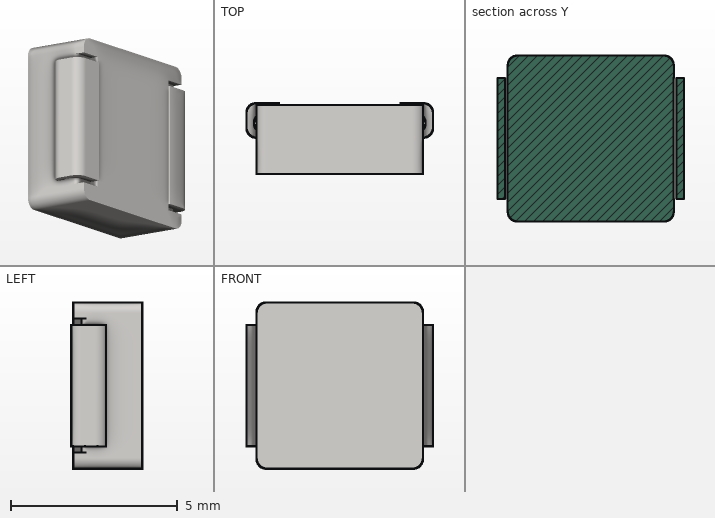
import cadquery as cq
import math

overall_width = 5.6
overall_depth = 2.13
body_width = 4.99
body_corner_radius = 0.31
pad_standoff = 0.055

terminal_height = 3.64
terminal_depth = 1.04
pad_length = 0.985
recess_height = 4.005
recess_lip_radius = 0.125
side_thickness = 0.235
inner_bend_radius = 0.295

side_x = -body_width / 2
outer_x = -overall_width / 2
pad_end_x = outer_x + pad_length
bend_radius = side_x - outer_x
pad_thickness = bend_radius
inner_centre_x = outer_x + side_thickness + inner_bend_radius
inner_centre_y = -pad_thickness - inner_bend_radius
crossing_offset = math.sqrt(inner_bend_radius**2 - (side_x - inner_centre_x) ** 2)


def bend_point(centre_x, centre_y, radius, angle):
    """Point on a bend circle, with the angle in degrees from +X."""
    turn = math.radians(angle)
    return (centre_x + radius * math.cos(turn), centre_y + radius * math.sin(turn))


def make_body():
    body_depth = overall_depth - pad_standoff
    return (
        cq.Workplane("XY")
        .box(body_width, body_depth, body_width)
        .edges("|Y")
        .fillet(body_corner_radius)
        .translate((0, -pad_standoff - body_depth / 2, 0))
    )


def make_recess():
    """Pocket for the pad, with its edge rounded over at the body side."""
    lip_centre_x = side_x + recess_lip_radius
    lip_centre_y = -pad_thickness - recess_lip_radius
    return (
        cq.Workplane("XY")
        .moveTo(pad_end_x, 0)
        .lineTo(side_x, 0)
        .lineTo(side_x, lip_centre_y)
        .threePointArc(
            bend_point(lip_centre_x, lip_centre_y, recess_lip_radius, 135),
            (lip_centre_x, -pad_thickness),
        )
        .lineTo(pad_end_x, -pad_thickness)
        .close()
        .extrude(recess_height / 2, both=True)
    )


def make_terminal():
    """C-shaped strip: pad along the back, bent round to end on the body side."""
    back_bend_y = -bend_radius
    front_bend_y = bend_radius - terminal_depth
    return (
        cq.Workplane("XY")
        .moveTo(pad_end_x, 0)
        .lineTo(side_x, 0)
        .threePointArc(bend_point(side_x, back_bend_y, bend_radius, 135), (outer_x, back_bend_y))
        .lineTo(outer_x, front_bend_y)
        .threePointArc(bend_point(side_x, front_bend_y, bend_radius, 225), (side_x, -terminal_depth))
        .lineTo(side_x, inner_centre_y - crossing_offset)
        .threePointArc(
            bend_point(inner_centre_x, inner_centre_y, inner_bend_radius, 180),
            (inner_centre_x, -pad_thickness),
        )
        .lineTo(pad_end_x, -pad_thickness)
        .close()
        .extrude(terminal_height / 2, both=True)
    )


def both_sides(shape):
    return shape.union(shape.mirror("YZ"))


result = make_body().cut(both_sides(make_recess())).union(both_sides(make_terminal()))